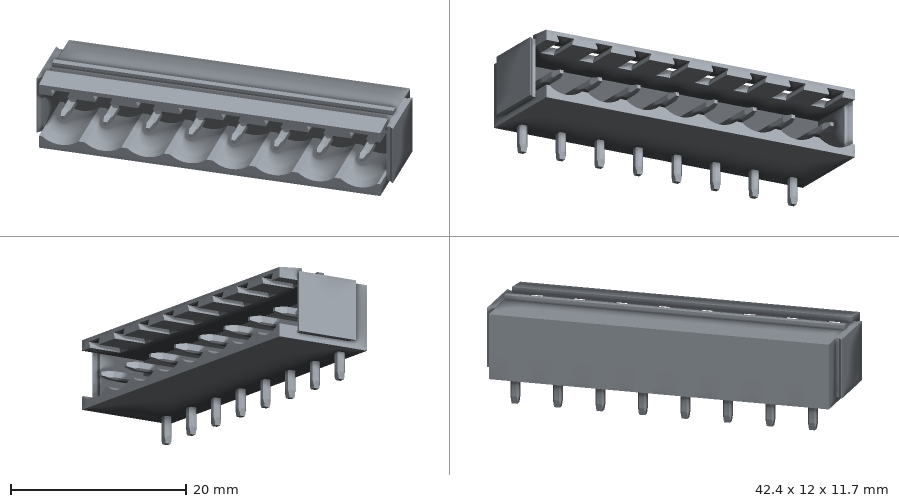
import cadquery as cq


total_length = 42.4
body_length = 40.6
body_depth = 12.0
pin_count = 8
pin_pitch = body_length / pin_count
pin_positions = [(i - (pin_count - 1) / 2) * pin_pitch for i in range(pin_count)]

roof_top = 7.7
wall_thickness = 0.75
roof_bottom = roof_top - wall_thickness
ridge_height = 1.53
cavity_depth = 8.5

lip_top = 8.45
lip_front_top = 8.2
lip_depth = 3.1
lip_slope_depth = 2.85

rib_front = 5.25
rib_back = 6.05
rib_top = 8.3
rib_foot_depth = 0.15
rib_foot_height = 0.02

scallop_width = 4.32

keyway_depth = 4.15
keyway_top_width = 2.3
keyway_bottom_width = 1.8
keyway_taper_bottom = 7.2

plate_front = 2.08
plate_back = 9.9
plate_bottom = 0.75
plate_top = 7.8
plate_edge = 0.1
plate_bevel = 0.4

pin_width = 1.0
pin_bevel = 0.2
contact_height = 3.8
contact_tip_y = 0.9
contact_taper = 1.45
contact_tip_width = 0.42
leg_y = 9.92
leg_bottom = -3.2
leg_taper = 0.9
leg_tip_width = 0.68


def make_shell():
    """Side profile of the back block, floor, roof, lip and rib, drawn along the whole length."""
    profile = [
        (0, 0),
        (body_depth, 0),
        (body_depth, roof_top),
        (rib_back, roof_top),
        (rib_back, rib_top),
        (rib_front, rib_top),
        (rib_front, roof_top + rib_foot_height),
        (rib_front - rib_foot_depth, roof_top),
        (lip_depth, roof_top),
        (lip_depth, lip_top),
        (lip_slope_depth, lip_top),
        (0, lip_front_top),
        (0, roof_bottom),
        (cavity_depth, roof_bottom),
        (cavity_depth, ridge_height),
        (0, ridge_height),
    ]
    return cq.Workplane("YZ").polyline(profile).close().extrude(body_length / 2, both=True)


def make_scallop(x):
    """Shallow round trough along the floor of the cavity."""
    half_width = scallop_width / 2
    return (
        cq.Workplane("XZ")
        .moveTo(x - half_width, ridge_height)
        .threePointArc((x, wall_thickness), (x + half_width, ridge_height))
        .close()
        .extrude(-cavity_depth)
    )


def make_keyway(x):
    """Slot through the roof and under the lip, with flared upper sides."""
    half_top = keyway_top_width / 2
    half_bottom = keyway_bottom_width / 2
    outline = [
        (x - half_bottom, roof_bottom),
        (x + half_bottom, roof_bottom),
        (x + half_bottom, keyway_taper_bottom),
        (x + half_top, roof_top),
        (x - half_top, roof_top),
        (x - half_bottom, keyway_taper_bottom),
    ]
    return cq.Workplane("XZ").polyline(outline).close().extrude(-keyway_depth)


def make_end_plate(side):
    """Dovetail plate closing one end of the cavity; side is -1 or 1."""
    outer_x = side * total_length / 2
    bevel_start_x = outer_x - side * plate_edge
    neck_x = bevel_start_x - side * plate_bevel
    body_x = side * body_length / 2
    neck_front = plate_front + plate_bevel
    neck_back = plate_back - plate_bevel
    outline = [
        (outer_x, plate_front),
        (outer_x, plate_back),
        (bevel_start_x, plate_back),
        (neck_x, neck_back),
        (body_x, neck_back),
        (body_x, neck_front),
        (neck_x, neck_front),
        (bevel_start_x, plate_front),
    ]
    plate = cq.Workplane("XY").workplane(offset=plate_bottom).polyline(outline).close()
    return plate.extrude(plate_top - plate_bottom)


def make_bar(start, direction, length, taper, tip_width):
    """Square bar with bevelled edges that narrows to a square tip over its last stretch."""
    plane = cq.Plane(origin=start, xDir=(1, 0, 0), normal=direction)
    bar = cq.Workplane(plane).rect(pin_width, pin_width).extrude(length)
    bar = bar.edges(cq.selectors.ParallelDirSelector(cq.Vector(*direction))).chamfer(pin_bevel)
    straight = length - taper
    envelope = cq.Workplane(plane).rect(pin_width, pin_width).extrude(straight)
    tip = (
        cq.Workplane(plane)
        .workplane(offset=straight)
        .rect(pin_width, pin_width)
        .workplane(offset=taper)
        .rect(tip_width, tip_width)
        .loft(ruled=True)
    )
    return bar.intersect(envelope.union(tip))


def make_pin(x):
    """Right-angle pin: a contact pointing forward and a solder leg pointing down."""
    contact_back = leg_y + pin_width / 2
    leg_top = contact_height + pin_width / 2
    contact = make_bar(
        (x, contact_back, contact_height),
        (0, -1, 0),
        contact_back - contact_tip_y,
        contact_taper,
        contact_tip_width,
    )
    leg = make_bar((x, leg_y, leg_top), (0, 0, -1), leg_top - leg_bottom, leg_taper, leg_tip_width)
    return contact.union(leg)


def make_housing(pins):
    """Housing with its scallops, keyways, end plates and the holes that hold the pins."""
    housing = make_shell()
    for x in pin_positions:
        housing = housing.cut(make_scallop(x)).cut(make_keyway(x))
    for side in (-1, 1):
        housing = housing.union(make_end_plate(side))
    for pin in pins:
        housing = housing.cut(pin)
    return housing


pins = [make_pin(x) for x in pin_positions]
housing = make_housing(pins)

result = cq.Compound.makeCompound([housing.solids().val(), *[pin.solids().val() for pin in pins]])